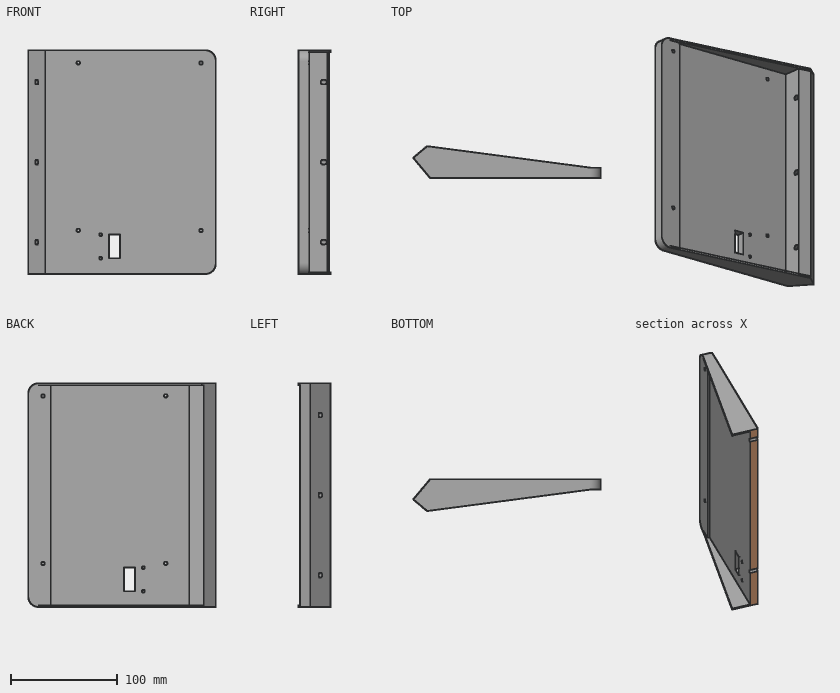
import cadquery as cq
import math

WIDTH = 176.0
DEPTH = 30.09
HEIGHT = 210.0

NOSE_X = 16.0
NOSE_ANGLE = 50.0
EDGE_THICKNESS = 10.0
CORNER_RADIUS = 10.0
APEX_Y = NOSE_X * math.tan(math.radians(NOSE_ANGLE))
RIDGE_X = (DEPTH - APEX_Y) * math.tan(math.radians(NOSE_ANGLE))
TAPER_END_X = WIDTH - CORNER_RADIUS
TAPER = (DEPTH - EDGE_THICKNESS) / (TAPER_END_X - RIDGE_X)

CHEEK = 2.0
PANEL = 8.0
NOSE_BAR_X = 25.0
SEAT_DEPTH = 1.5
SEAT_END_X = TAPER_END_X - SEAT_DEPTH / TAPER

NOSE_HOLE_DIAMETER = 4.5
NOSE_HOLE_SPACING = 75.0

MOUNT_DIAMETER = 3.0
MOUNT_X = 47.0
MOUNT_Z = 41.0
MOUNT_PITCH_X = 115.0
MOUNT_PITCH_Z = 157.0

WINDOW_X = 76.0
WINDOW_Z = 15.0
WINDOW_WIDTH = 10.0
WINDOW_HEIGHT = 22.0
SMALL_DIAMETER = 2.5
SMALL_X = 68.0


def rear_y(x):
    """Y of the tapered rear face, extended in both directions."""
    return DEPTH - TAPER * (x - RIDGE_X)


def wedge():
    """Full-height wedge with rounded corners along its thin edge."""
    profile = [
        (0, APEX_Y),
        (NOSE_X, 0),
        (WIDTH, 0),
        (WIDTH, EDGE_THICKNESS),
        (TAPER_END_X, EDGE_THICKNESS),
        (RIDGE_X, DEPTH),
    ]
    body = cq.Workplane("XY").polyline(profile).close().extrude(HEIGHT)
    return body.edges("|Y and >X").fillet(CORNER_RADIUS)


def between_cheeks(points):
    """Prism over an XY outline, filling the height between the cheeks."""
    prism = cq.Workplane("XY").workplane(offset=CHEEK).polyline(points).close()
    return prism.extrude(HEIGHT - 2 * CHEEK)


def cover_seat():
    """Strip removed from the tapered rear face, running out at the thin edge."""
    return between_cheeks([
        (0, rear_y(0) - SEAT_DEPTH),
        (SEAT_END_X, EDGE_THICKNESS),
        (TAPER_END_X, EDGE_THICKNESS),
        (0, rear_y(0)),
    ])


def cavity():
    """Space behind the front panel, from the nose bar to the end of the cover seat."""
    return between_cheeks([
        (NOSE_BAR_X, PANEL),
        (SEAT_END_X, PANEL),
        (SEAT_END_X, rear_y(SEAT_END_X)),
        (NOSE_BAR_X, rear_y(NOSE_BAR_X)),
    ])


def panel_hole(x, z, diameter):
    """Cylinder through the part along Y."""
    return cq.Workplane("XZ").center(x, z).circle(diameter / 2).extrude(-DEPTH)


def nose_hole(z):
    """Cylinder square to the sloped nose face, reaching the cavity."""
    angle = math.radians(NOSE_ANGLE)
    direction = cq.Vector(math.sin(angle), math.cos(angle), 0)
    start = cq.Vector(NOSE_X / 2, APEX_Y / 2, z)
    length = (NOSE_BAR_X - start.x + NOSE_HOLE_DIAMETER) / direction.x
    return cq.Solid.makeCylinder(NOSE_HOLE_DIAMETER / 2, length, start, direction)


def window():
    """Rectangular opening through the front panel."""
    opening = cq.Workplane("XY").box(WINDOW_WIDTH, DEPTH, WINDOW_HEIGHT, centered=False)
    return opening.translate((WINDOW_X, 0, WINDOW_Z))


result = wedge().cut(cover_seat()).cut(cavity()).cut(window())

for step in (-1, 0, 1):
    result = result.cut(nose_hole(HEIGHT / 2 + step * NOSE_HOLE_SPACING))

for x in (MOUNT_X, MOUNT_X + MOUNT_PITCH_X):
    for z in (MOUNT_Z, MOUNT_Z + MOUNT_PITCH_Z):
        result = result.cut(panel_hole(x, z, MOUNT_DIAMETER))

for z in (WINDOW_Z, WINDOW_Z + WINDOW_HEIGHT):
    result = result.cut(panel_hole(SMALL_X, z, SMALL_DIAMETER))